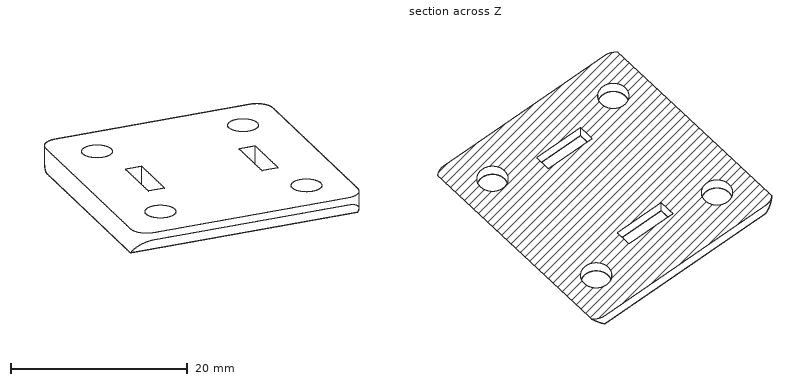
import cadquery as cq

side = 28.0
thickness = 3.0
corner_radius = 2.0

bevel_width = 2.0
lip_height = 0.9

hole_diameter = 3.5
hole_spacing = 18.0

slot_length = 6.5
slot_width = 2.0
slot_spacing = 14.0


def bevelled_plate():
    """Square plate with rounded vertical corners and bevelled lower X edges."""
    half_side = side / 2
    half_bottom = half_side - bevel_width
    lip_bottom = thickness - lip_height
    cross_section = [
        (-half_bottom, 0),
        (half_bottom, 0),
        (half_side, lip_bottom),
        (half_side, thickness),
        (-half_side, thickness),
        (-half_side, lip_bottom),
    ]
    bar = cq.Workplane("XZ").polyline(cross_section).close().extrude(half_side, both=True)
    rounded_square = cq.Workplane("XY").rect(side, side).extrude(thickness).edges("|Z").fillet(corner_radius)
    return bar.intersect(rounded_square)


def screw_holes():
    """Cutters for the four through holes."""
    corners = cq.Workplane("XY").rect(hole_spacing, hole_spacing, forConstruction=True).vertices()
    return corners.circle(hole_diameter / 2).extrude(thickness)


def slots():
    """Cutters for the two through slots, mirrored about the XZ plane."""
    centres = [(0, -slot_spacing / 2), (0, slot_spacing / 2)]
    return cq.Workplane("XY").pushPoints(centres).rect(slot_length, slot_width).extrude(thickness)


result = bevelled_plate().cut(screw_holes()).cut(slots())